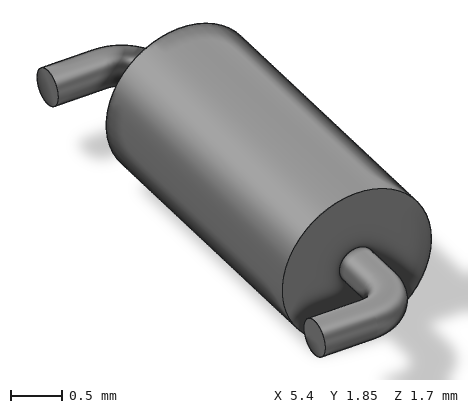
import cadquery as cq

overall_length = 5.4
body_length = 3.3
body_diameter = 1.7
lead_diameter = 0.4
bend_radius = 0.4
lead_drop = 1.0

lead_radius = lead_diameter / 2
body_end = body_length / 2
lead_tip_x = overall_length / 2 - lead_radius
bend_start_x = lead_tip_x - bend_radius


def make_body():
    """Solid cylinder lying along X, centred on the origin."""
    return cq.Workplane("YZ", origin=(-body_end, 0, 0)).circle(body_diameter / 2).extrude(body_length)


def make_lead():
    """Round lead leaving the +X end of the body and bending towards -Y."""
    straight = (
        cq.Workplane("YZ", origin=(body_end, 0, 0))
        .circle(lead_radius)
        .extrude(bend_start_x - body_end)
    )
    bend = (
        cq.Workplane("YZ", origin=(bend_start_x, 0, 0))
        .circle(lead_radius)
        .revolve(90, (-bend_radius, 0, 0), (-bend_radius, -1, 0))
    )
    leg = (
        cq.Workplane("XZ", origin=(lead_tip_x, -bend_radius, 0))
        .circle(lead_radius)
        .extrude(lead_drop - bend_radius)
    )
    return straight.union(bend).union(leg)


lead = make_lead()
result = make_body().union(lead).union(lead.mirror("YZ"))